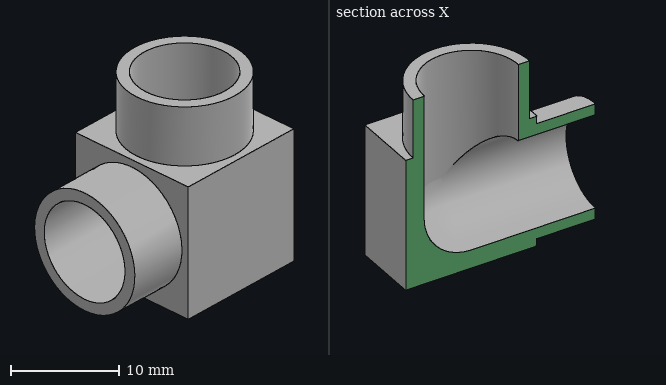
import cadquery as cq

overall_length = 20.65
block_side = 14.3
pipe_diameter = 12.7
bore_diameter = 10.2

pipe_reach = overall_length - block_side / 2
upward = cq.Vector(0, 0, 1)
forward = cq.Vector(0, -1, 0)


def round_bar(diameter, direction):
    """Cylinder from the block centre to the open end of a pipe."""
    return cq.Workplane(
        cq.Solid.makeCylinder(diameter / 2, pipe_reach, cq.Vector(0, 0, 0), direction)
    )


body = cq.Workplane("XY").box(block_side, block_side, block_side)
for direction in (upward, forward):
    body = body.union(round_bar(pipe_diameter, direction))

passage = cq.Workplane("XY").sphere(bore_diameter / 2)
for direction in (upward, forward):
    passage = passage.union(round_bar(bore_diameter, direction))

result = body.cut(passage)